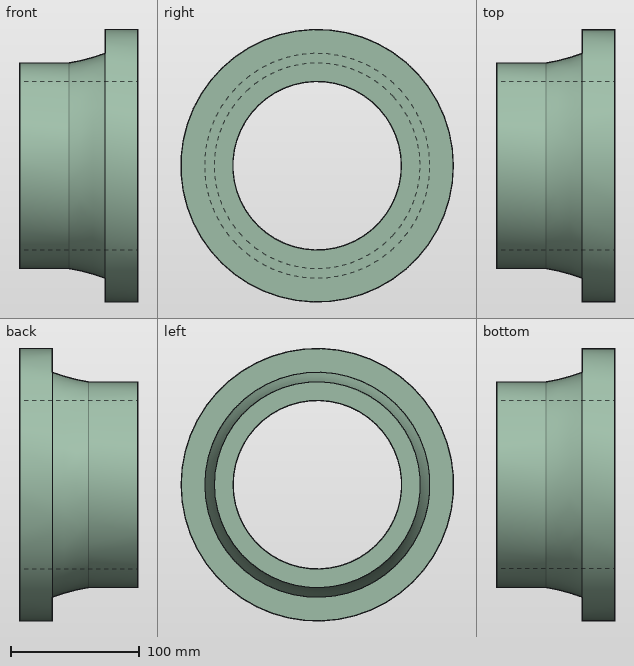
import cadquery as cq

total_length = 92.0
bore_diameter = 130.8
pipe_diameter = 160.0
flange_diameter = 212.0

pipe_length = 38.3
flange_thickness = 25.5
flange_face_x = total_length - flange_thickness

flare_end_diameter = 175.0
flare_arc_radius = 150.0


def make_profile():
    """Half section in the XY plane: X runs along the axis, Y is the radius."""
    bore_radius = bore_diameter / 2
    pipe_radius = pipe_diameter / 2
    flange_radius = flange_diameter / 2
    flare_end_radius = flare_end_diameter / 2
    return (
        cq.Workplane("XY")
        .moveTo(0, bore_radius)
        .lineTo(0, pipe_radius)
        .lineTo(pipe_length, pipe_radius)
        .radiusArc((flange_face_x, flare_end_radius), -flare_arc_radius)
        .lineTo(flange_face_x, flange_radius)
        .lineTo(total_length, flange_radius)
        .lineTo(total_length, bore_radius)
        .close()
    )


def make_collar():
    """Revolve the half section a full turn about the X axis."""
    axis_start = (0, 0, 0)
    axis_end = (1, 0, 0)
    return make_profile().revolve(360, axis_start, axis_end)


result = make_collar()